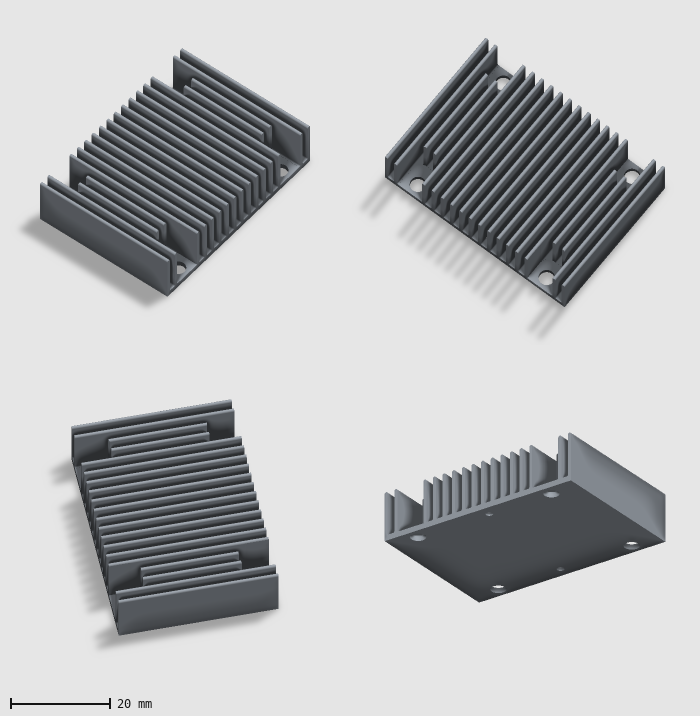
import cadquery as cq

length_x = 32.95
width_y = 46.0
height = 11.0

base_thickness = 1.25
fin_count = 20
fin_tip_radius = 0.375
fin_tip_flat = 0.005
fin_thickness = 2 * fin_tip_radius + fin_tip_flat
fin_root_radius = 0.255
fin_pitch = (width_y - fin_thickness) / (fin_count - 1)

mount_hole_diameter = 3.3
mount_spacing_x = 27.95
mount_spacing_y = 32.95

pocket_width_y = 6.03
pocket_recess = 0.05
pocket_corner_radius = 2.02
long_pocket_length = 6.65
short_pocket_length = 6.15

small_hole_diameter = 1.6
small_hole_offset_y = 1.1
small_hole_depth = base_thickness + fin_root_radius


def make_base():
    return cq.Workplane("XY").box(length_x, width_y, base_thickness, centered=(True, True, False))


def make_fin(y):
    """Full-length fin, rounded at the tip down to a narrow flat along its crest."""
    fin = (
        cq.Workplane("XY")
        .box(length_x, fin_thickness, height, centered=(True, True, False))
        .edges("|X and >Z")
        .fillet(fin_tip_radius)
    )
    return fin.translate((0, y, 0))


def make_finned_body():
    body = make_base()
    for i in range(fin_count):
        body = body.union(make_fin((i - (fin_count - 1) / 2) * fin_pitch))
    root_zone_y = (width_y - fin_thickness) / 2
    root_zone = cq.selectors.BoxSelector(
        (-length_x, -root_zone_y, base_thickness / 2),
        (length_x, root_zone_y, base_thickness * 2),
    )
    return body.edges("|X").edges(root_zone).fillet(fin_root_radius)


def make_pocket(side_x, side_y, pocket_length):
    """Cutter open at the X end of the part, rounded at its inner corners."""
    floor_z = base_thickness - pocket_recess
    center = (side_x * length_x / 2, side_y * mount_spacing_y / 2, floor_z)
    return (
        cq.Workplane("XY", origin=center)
        .rect(2 * pocket_length, pocket_width_y)
        .extrude(height)
        .edges("|Z")
        .fillet(pocket_corner_radius)
    )


def make_hole(x, y, diameter, depth):
    """Round cutter rising from the underside."""
    return cq.Workplane("XY", origin=(x, y, 0)).circle(diameter / 2).extrude(depth)


result = make_finned_body()

for side_x in (-1, 1):
    hole_x = side_x * mount_spacing_x / 2
    small_hole_y = side_x * small_hole_offset_y
    result = result.cut(make_hole(hole_x, small_hole_y, small_hole_diameter, small_hole_depth))
    for side_y in (-1, 1):
        pocket_length = short_pocket_length if side_x == side_y else long_pocket_length
        result = result.cut(make_pocket(side_x, side_y, pocket_length))
        mount_hole_y = side_y * mount_spacing_y / 2
        result = result.cut(make_hole(hole_x, mount_hole_y, mount_hole_diameter, base_thickness))